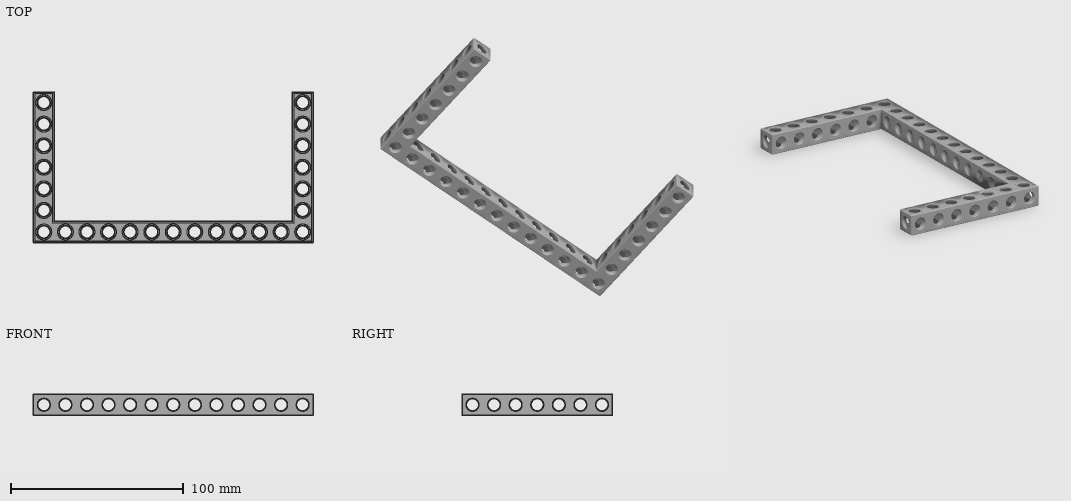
import cadquery as cq

pitch = 12.5
base_holes = 13
arm_holes = 7
thickness = pitch
length = base_holes * pitch
depth = arm_holes * pitch
right_arm_x = length - pitch

hole_diameter = 7.0
hole_chamfer = 0.3

edge_chamfer = 0.3

rim_width = 1.1
ring_diameter = 9.2
recess_depth = 0.2


def hole_center(index):
    """Distance of a hole axis from the outer face of the beam."""
    return (index + 0.5) * pitch


mid_height = thickness / 2
base_centers = [hole_center(i) for i in range(base_holes)]
arm_centers = [hole_center(i) for i in range(arm_holes)]
outer_columns = [base_centers[0], base_centers[-1]]
base_row = arm_centers[0]

vertical_axes = [(x, base_row) for x in base_centers]
vertical_axes += [(x, y) for x in outer_columns for y in arm_centers[1:]]


def u_prism(inset, bottom, height):
    """U-shaped prism whose outline is offset inwards by inset."""
    arm_inner = pitch - inset
    corners = [
        (inset, inset),
        (length - inset, inset),
        (length - inset, depth - inset),
        (length - arm_inner, depth - inset),
        (length - arm_inner, arm_inner),
        (arm_inner, arm_inner),
        (arm_inner, depth - inset),
        (inset, depth - inset),
    ]
    return cq.Workplane("XY").workplane(offset=bottom).polyline(corners).close().extrude(height)


def is_inner_corner(edge):
    """True for the vertical edges where the arms meet the base on the inside."""
    center = edge.Center()
    vertical = abs(edge.tangentAt(0).z) > 0.5
    return vertical and 0 < center.x < length and 0 < center.y < depth - pitch / 2


def make_beam():
    """Solid beam with chamfered edges."""
    beam = u_prism(0, 0, thickness)
    outer_edges = [edge for edge in beam.edges().vals() if not is_inner_corner(edge)]
    return beam.newObject(outer_edges).chamfer(edge_chamfer)


def make_recess():
    """Volume removed from the top face between the rim and the hole rings."""
    recess = u_prism(rim_width, thickness - recess_depth, recess_depth)
    rings = cq.Workplane("XY").pushPoints(vertical_axes).circle(ring_diameter / 2).extrude(thickness)
    return recess.cut(rings)


def hole_cutter(start, direction, span):
    """Cutter for a through hole of the given span, with a chamfer at both mouths."""
    radius = hole_diameter / 2
    mouth_radius = radius + hole_chamfer
    axis = cq.Vector(*direction)
    entry = cq.Vector(*start)
    exit_point = entry + axis * span
    bore = cq.Solid.makeCylinder(radius, span, entry, axis)
    entry_cone = cq.Solid.makeCone(mouth_radius, radius, hole_chamfer, entry, axis)
    exit_cone = cq.Solid.makeCone(mouth_radius, radius, hole_chamfer, exit_point, axis * -1)
    return bore.fuse(entry_cone, exit_cone)


def drill(body, cutters):
    """Remove a list of hole cutters from the body."""
    return body.cut(cq.Workplane(obj=cq.Compound.makeCompound(cutters)))


result = make_beam().cut(make_recess())

result = drill(result, [hole_cutter((x, y, 0), (0, 0, 1), thickness) for x, y in vertical_axes])

y_cutters = [hole_cutter((x, 0, mid_height), (0, 1, 0), depth) for x in outer_columns]
y_cutters += [hole_cutter((x, 0, mid_height), (0, 1, 0), pitch) for x in base_centers[1:-1]]
result = drill(result, y_cutters)

x_cutters = [hole_cutter((0, base_row, mid_height), (1, 0, 0), length)]
for arm_x in (0, right_arm_x):
    x_cutters += [hole_cutter((arm_x, y, mid_height), (1, 0, 0), pitch) for y in arm_centers[1:]]
result = drill(result, x_cutters)